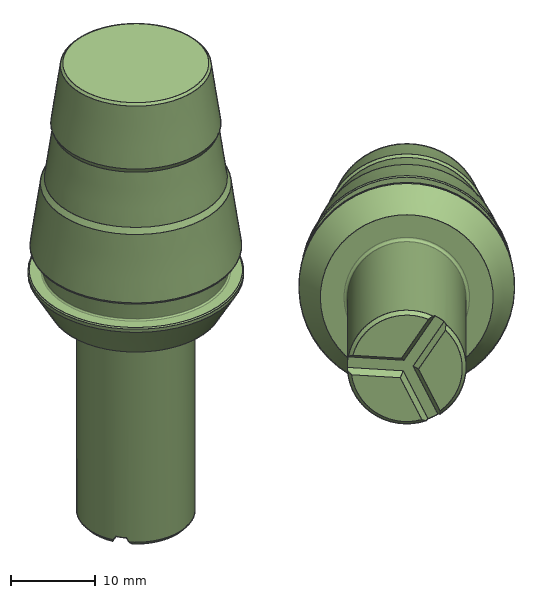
import cadquery as cq
import math

TOTAL_HEIGHT = 63.3
MAX_RADIUS = 25.45 / 2

SHANK_RADIUS = 7.0
FOOT_CHAMFER_WIDTH = 0.45
FOOT_CHAMFER_HEIGHT = 0.55
SHANK_ROOT_FILLET = 0.4

COLLAR_BASE_Z = 29.3
COLLAR_TOP_Z = 34.3
COLLAR_RIM_HEIGHT = 0.6
COLLAR_TOP_CHAMFER = 0.15
COLLAR_HALF_ANGLE = 30.0

GROOVE_RADIUS = 11.0
GROOVE_FILLET = 0.2

BARB_HALF_ANGLE = 8.0
LOWER_BARB_BASE_Z = 37.7
LOWER_BARB_BASE_RADIUS = 12.5
LOWER_BARB_TOP_Z = 46.5
MIDDLE_BARB_BASE_Z = 47.2
MIDDLE_BARB_BASE_RADIUS = 10.8
UPPER_BARB_STEP_Z = 54.3
UPPER_BARB_BASE_Z = 54.9
UPPER_BARB_BASE_RADIUS = 10.05
BARB_LIP_HEIGHT = 0.25
BARB_LIP_INSET = 0.12
TIP_CHAMFER = 0.3

SLOT_COUNT = 3
FIRST_SLOT_ANGLE = 90.0
SLOT_DEPTH = 1.08
SLOT_ROOF_WIDTH = 1.3
SLOT_MOUTH_WIDTH = 2.4


def barb_radius(base_radius, height):
    """Radius of a barb at a height above its widest section."""
    return base_radius - height * math.tan(math.radians(BARB_HALF_ANGLE))


def make_body():
    """Revolve the half section of the shank, collar, groove and barbs."""
    rim_base_z = COLLAR_TOP_Z - COLLAR_RIM_HEIGHT
    cone_height = rim_base_z - COLLAR_BASE_Z
    collar_base_radius = MAX_RADIUS - cone_height * math.tan(math.radians(COLLAR_HALF_ANGLE))
    foot_radius = SHANK_RADIUS - FOOT_CHAMFER_WIDTH
    root_radius = SHANK_RADIUS + SHANK_ROOT_FILLET
    groove_floor_edge = GROOVE_RADIUS + GROOVE_FILLET

    lower_barb_top_radius = barb_radius(LOWER_BARB_BASE_RADIUS, LOWER_BARB_TOP_Z - LOWER_BARB_BASE_Z)
    middle_barb_top_radius = barb_radius(MIDDLE_BARB_BASE_RADIUS, UPPER_BARB_STEP_Z - MIDDLE_BARB_BASE_Z)
    tip_chamfer_z = TOTAL_HEIGHT - TIP_CHAMFER
    upper_barb_top_radius = barb_radius(UPPER_BARB_BASE_RADIUS, tip_chamfer_z - UPPER_BARB_BASE_Z)

    lip_base_z = LOWER_BARB_BASE_Z - BARB_LIP_HEIGHT
    arc_inset = 1 - math.sqrt(0.5)
    root_mid = (
        SHANK_RADIUS + SHANK_ROOT_FILLET * arc_inset,
        COLLAR_BASE_Z - SHANK_ROOT_FILLET * arc_inset,
    )
    groove_low_mid = (
        GROOVE_RADIUS + GROOVE_FILLET * arc_inset,
        COLLAR_TOP_Z + GROOVE_FILLET * arc_inset,
    )
    groove_high_mid = (
        GROOVE_RADIUS + GROOVE_FILLET * arc_inset,
        lip_base_z - GROOVE_FILLET * arc_inset,
    )

    section = (
        cq.Workplane("XZ")
        .moveTo(0, 0)
        .lineTo(foot_radius, 0)
        .lineTo(SHANK_RADIUS, FOOT_CHAMFER_HEIGHT)
        .lineTo(SHANK_RADIUS, COLLAR_BASE_Z - SHANK_ROOT_FILLET)
        .threePointArc(root_mid, (root_radius, COLLAR_BASE_Z))
        .lineTo(collar_base_radius, COLLAR_BASE_Z)
        .lineTo(MAX_RADIUS, rim_base_z)
        .lineTo(MAX_RADIUS, COLLAR_TOP_Z - COLLAR_TOP_CHAMFER)
        .lineTo(MAX_RADIUS - COLLAR_TOP_CHAMFER, COLLAR_TOP_Z)
        .lineTo(groove_floor_edge, COLLAR_TOP_Z)
        .threePointArc(groove_low_mid, (GROOVE_RADIUS, COLLAR_TOP_Z + GROOVE_FILLET))
        .lineTo(GROOVE_RADIUS, lip_base_z - GROOVE_FILLET)
        .threePointArc(groove_high_mid, (groove_floor_edge, lip_base_z))
        .lineTo(LOWER_BARB_BASE_RADIUS - BARB_LIP_INSET, lip_base_z)
        .lineTo(LOWER_BARB_BASE_RADIUS, LOWER_BARB_BASE_Z)
        .lineTo(lower_barb_top_radius, LOWER_BARB_TOP_Z)
        .lineTo(MIDDLE_BARB_BASE_RADIUS, MIDDLE_BARB_BASE_Z)
        .lineTo(middle_barb_top_radius, UPPER_BARB_STEP_Z)
        .lineTo(UPPER_BARB_BASE_RADIUS, UPPER_BARB_BASE_Z)
        .lineTo(upper_barb_top_radius, tip_chamfer_z)
        .lineTo(upper_barb_top_radius - TIP_CHAMFER, TOTAL_HEIGHT)
        .lineTo(0, TOTAL_HEIGHT)
        .close()
    )
    return section.revolve(360, (0, 0, 0), (0, 1, 0))


def make_slot(angle):
    """One radial slot running from the axis out through the shank wall."""
    slot = (
        cq.Workplane("YZ")
        .polyline(
            [
                (-SLOT_MOUTH_WIDTH / 2, 0),
                (SLOT_MOUTH_WIDTH / 2, 0),
                (SLOT_ROOF_WIDTH / 2, SLOT_DEPTH),
                (-SLOT_ROOF_WIDTH / 2, SLOT_DEPTH),
            ]
        )
        .close()
        .extrude(SHANK_RADIUS * 2)
    )
    return slot.rotate((0, 0, 0), (0, 0, 1), angle)


result = make_body()
for index in range(SLOT_COUNT):
    result = result.cut(make_slot(FIRST_SLOT_ANGLE + index * 360 / SLOT_COUNT))